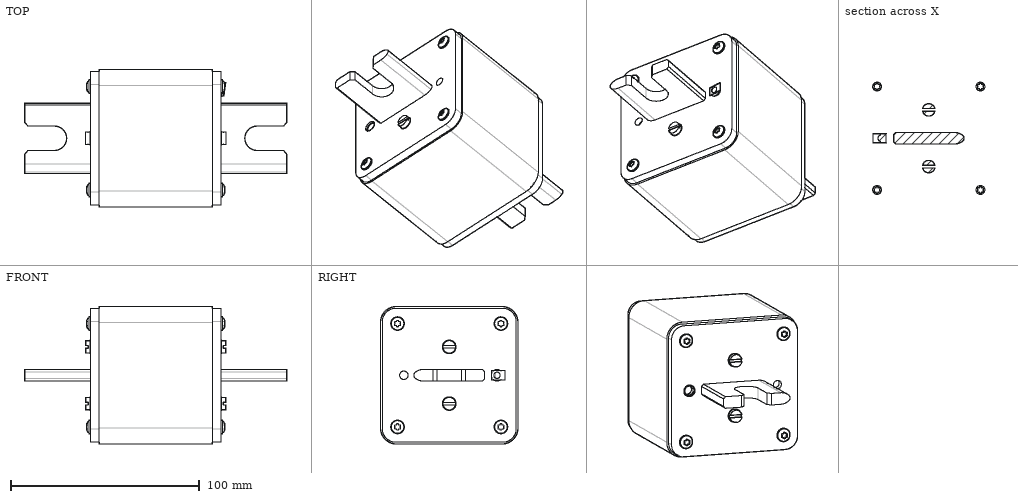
import cadquery as cq
import math

blade_span = 139.0
body_length = 60.0
body_side = 73.0
body_corner_radius = 8.6
plate_thickness = 4.6
plate_side = 70.9
plate_corner_radius = 7.1
plate_face = body_length / 2 + plate_thickness

blade_back = 18.6
blade_front = -18.8
blade_thickness = 6.3
blade_half_thickness = blade_thickness / 2
blade_bevel = 1.1
nose_depth = 5.1
nose_tip_radius = 2.1

slot_depth = 22.2
slot_half_width = 6.4
mouth_bevel_length = 1.8
mouth_bevel_width = 2.1

corner_screw_offset = 27.4
corner_rim_radius = 3.6
corner_rim_height = 0.7
dome_base_radius = 3.3
dome_height = 2.4
lobe_count = 6
socket_core_radius = 1.3
lobe_radius = 0.49
socket_depth = 1.3

slotted_screw_offset = 15.0
slotted_head_radius = 3.3
slotted_head_height = 2.5
collar_radius = 3.6
collar_height = 0.1
driver_slot_width = 1.4
driver_slot_depth = 1.3

stepped_hole_y = 25.3
stepped_hole_radius = 3.0
stepped_hole_step = 1.0
inner_hole_radius = 2.4
inner_hole_depth = 3.6
plain_hole_y = -24.0
plain_hole_radius = 2.2
plain_hole_depth = 3.5

indicator_base_height = 0.4
indicator_neck_radius = 1.7
tab_inner_y = 22.4
tab_outer_y = 29.6
tab_inner_height = 1.1
tab_outer_height = 2.1
tab_thickness = 0.4
tab_width = 5.0


def rounded_block(length, side, radius):
    """Square block centred on the origin with its four X edges rounded."""
    return cq.Workplane("XY").box(length, side, side).edges("|X").fillet(radius)


def disc(radius, start, height):
    """Round disc about X, from x = start to x = start + height."""
    return cq.Workplane("YZ").workplane(offset=start).circle(radius).extrude(height)


def blade():
    """Bar with a bevelled +Y edge and a three-arc rounded -Y edge."""
    half = blade_half_thickness
    shoulder_radius = (nose_depth**2 + half**2 - 2 * nose_depth * nose_tip_radius) / (
        2 * (half - nose_tip_radius)
    )
    shoulder_y = blade_front + nose_depth
    shoulder_z = half - shoulder_radius
    tip_y = blade_front + nose_tip_radius
    joint_angle = math.atan2(-shoulder_z, tip_y - shoulder_y)
    joint_y = tip_y + nose_tip_radius * math.cos(joint_angle)
    joint_z = nose_tip_radius * math.sin(joint_angle)
    middle_angle = (joint_angle + math.pi / 2) / 2
    middle_y = shoulder_y + shoulder_radius * math.cos(middle_angle)
    middle_z = shoulder_z + shoulder_radius * math.sin(middle_angle)
    return (
        cq.Workplane("YZ")
        .moveTo(blade_back, half - blade_bevel)
        .lineTo(blade_back - blade_bevel, half)
        .lineTo(shoulder_y, half)
        .threePointArc((middle_y, middle_z), (joint_y, joint_z))
        .threePointArc((blade_front, 0), (joint_y, -joint_z))
        .threePointArc((middle_y, -middle_z), (shoulder_y, -half))
        .lineTo(blade_back - blade_bevel, -half)
        .lineTo(blade_back, -half + blade_bevel)
        .close()
        .extrude(blade_span / 2, both=True)
    )


def blade_slot():
    """Round-bottomed slot with a bevelled mouth, cut into the +X blade end."""
    tip = blade_span / 2
    bottom = tip - slot_depth
    arc_start = bottom + slot_half_width
    mouth_half_width = slot_half_width + mouth_bevel_width
    return (
        cq.Workplane("XY")
        .moveTo(tip, mouth_half_width)
        .lineTo(tip - mouth_bevel_length, slot_half_width)
        .lineTo(arc_start, slot_half_width)
        .threePointArc((bottom, 0), (arc_start, -slot_half_width))
        .lineTo(tip - mouth_bevel_length, -slot_half_width)
        .lineTo(tip, -mouth_half_width)
        .close()
        .extrude(body_side, both=True)
    )


def corner_screw():
    """Domed screw head standing on the +X plate, on the X axis."""
    dome_rise = dome_height - corner_rim_height
    dome_radius = (dome_base_radius**2 + dome_rise**2) / (2 * dome_rise)
    middle_angle = math.asin(dome_base_radius / dome_radius) / 2
    middle_height = dome_height - dome_radius * (1 - math.cos(middle_angle))
    head = (
        cq.Workplane("XY")
        .moveTo(plate_face, 0)
        .lineTo(plate_face, corner_rim_radius)
        .lineTo(plate_face + corner_rim_height, corner_rim_radius)
        .lineTo(plate_face + corner_rim_height, dome_base_radius)
        .threePointArc(
            (plate_face + middle_height, dome_radius * math.sin(middle_angle)),
            (plate_face + dome_height, 0),
        )
        .close()
        .revolve(360, (0, 0, 0), (1, 0, 0))
    )
    socket_floor = plate_face + dome_height - socket_depth
    socket = disc(socket_core_radius, socket_floor, socket_depth)
    for index in range(lobe_count):
        angle = math.pi / 2 + index * 2 * math.pi / lobe_count
        lobe = disc(lobe_radius, socket_floor, socket_depth)
        lobe_y = socket_core_radius * math.cos(angle)
        lobe_z = socket_core_radius * math.sin(angle)
        socket = socket.union(lobe.translate((0, lobe_y, lobe_z)))
    return head.cut(socket)


def slotted_screw():
    """Cylindrical screw head with a driver slot along Y, on the X axis."""
    head = disc(slotted_head_radius, plate_face, slotted_head_height)
    head = head.union(disc(collar_radius, plate_face, collar_height))
    slot = cq.Workplane("XY").box(2 * driver_slot_depth, 2 * collar_radius, driver_slot_width)
    return head.cut(slot.translate((plate_face + slotted_head_height, 0, 0)))


def indicator():
    """Tilted tab on a neck and base disc, standing on the +X plate."""
    base = disc(stepped_hole_radius, plate_face, indicator_base_height)
    neck_height = (tab_inner_height + tab_outer_height + tab_thickness) / 2
    neck = disc(indicator_neck_radius, plate_face, neck_height)
    tab = (
        cq.Workplane("XY")
        .polyline([
            (plate_face + tab_inner_height, tab_inner_y),
            (plate_face + tab_inner_height + tab_thickness, tab_inner_y),
            (plate_face + tab_outer_height + tab_thickness, tab_outer_y),
            (plate_face + tab_outer_height, tab_outer_y),
        ])
        .close()
        .extrude(tab_width / 2, both=True)
    )
    return base.union(neck).translate((0, stepped_hole_y, 0)).union(tab)


def hole(radius, depth, y):
    """Blind hole cutter sunk into the +X plate."""
    return disc(radius, plate_face - depth, depth).translate((0, y, 0))


def both_ends(feature):
    """The +X feature together with its mirror image at -X."""
    return feature.union(feature.mirror("YZ"))


part = rounded_block(body_length, body_side, body_corner_radius)
part = part.union(rounded_block(2 * plate_face, plate_side, plate_corner_radius))
part = part.union(blade()).cut(both_ends(blade_slot()))

for y_side in (-1, 1):
    for z_side in (-1, 1):
        place = (0, y_side * corner_screw_offset, z_side * corner_screw_offset)
        part = part.union(both_ends(corner_screw().translate(place)))
for z_side in (-1, 1):
    part = part.union(both_ends(slotted_screw().translate((0, 0, z_side * slotted_screw_offset))))

part = part.cut(both_ends(hole(plain_hole_radius, plain_hole_depth, plain_hole_y)))
stepped_hole = hole(stepped_hole_radius, stepped_hole_step, stepped_hole_y)
stepped_hole = stepped_hole.union(hole(inner_hole_radius, inner_hole_depth, stepped_hole_y))
part = part.cut(stepped_hole.mirror("YZ"))
part = part.union(indicator())

result = part